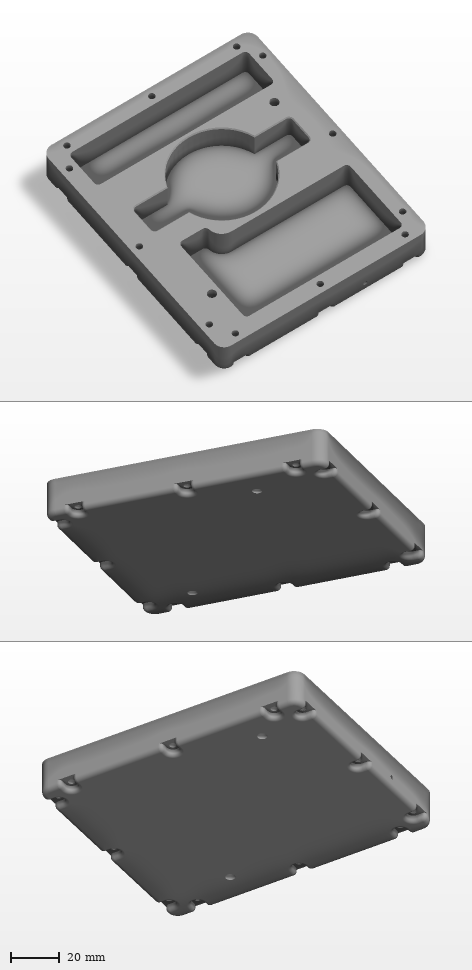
import cadquery as cq

LENGTH = 126.0
WIDTH = 106.0
HEIGHT = 16.0
CORNER_RADIUS = 5.0
BOTTOM_FILLET = 2.0

SCREW_INSET = 4.0
SCREW_HOLE_DIAMETER = 3.1
SCREW_X_PITCH = 49.0
SCREW_Y_PITCH = 43.0
RECESS_WIDTH = 6.0
RECESS_HEIGHT = 3.3
RECESS_FILLET = 1.5

MOUNT_HOLE_DIAMETER = 4.2
MOUNT_HOLES = [(-27.0, 39.0), (37.0, -39.0)]

POCKET_WALL = 7.9
POCKET_FLOOR = 2.0
POCKET_RADIUS = 2.0
SIDE_POCKET_WIDTH = 20.1

STEPPED_POCKET_LEFT = 16.0
STEPPED_POCKET_BOTTOM = -35.0
STEP_LEFT = 8.0
STEP_TOP = -20.8
STEP_RADIUS = 7.0

ROUND_POCKET_X = -10.0
ROUND_POCKET_FLOOR = 4.0
ROUND_POCKET_RADIUS = 23.25
CROSS_SLOT_WIDTH = 15.0
CROSS_SLOT_LENGTH = 80.0
ROUND_POCKET_CHAMFER = 0.5

WALL_HOLE_DIAMETER = 2.0
WALL_HOLE_Y = 20.0
WALL_HOLE_Z = 5.0

POCKET_X_LIMIT = LENGTH / 2 - POCKET_WALL
POCKET_Y_LIMIT = WIDTH / 2 - POCKET_WALL


def make_body():
    """Solid block with rounded corners and a rounded bottom edge."""
    block = cq.Workplane("XY").box(LENGTH, WIDTH, HEIGHT, centered=(True, True, False))
    block = block.edges("|Z").fillet(CORNER_RADIUS)
    return block.faces("<Z").edges().fillet(BOTTOM_FILLET)


def screw_places():
    """Screw centres, each with the direction toward its side wall."""
    row_x = LENGTH / 2 - SCREW_INSET
    row_y = WIDTH / 2 - SCREW_INSET
    places = []
    for side in (-1, 1):
        for step in (-1, 0, 1):
            places.append((step * SCREW_X_PITCH, side * row_y, 0, side))
            places.append((side * row_x, step * SCREW_Y_PITCH, side, 0))
    return places


def cut_screw_recess(body, x, y, out_x, out_y):
    """Cut a round-ended recess from the screw out through the side wall and round its rim."""
    run = 2 * SCREW_INSET
    exit_size_x = run if out_x else RECESS_WIDTH
    exit_size_y = run if out_y else RECESS_WIDTH
    head = cq.Workplane("XY").center(x, y).circle(RECESS_WIDTH / 2).extrude(RECESS_HEIGHT)
    exit_slot = (
        cq.Workplane("XY")
        .center(x + out_x * run / 2, y + out_y * run / 2)
        .rect(exit_size_x, exit_size_y)
        .extrude(RECESS_HEIGHT)
    )
    body = body.cut(head.union(exit_slot))

    round_end = (x - out_x * RECESS_WIDTH / 2, y - out_y * RECESS_WIDTH / 2, 0)
    return body.edges(cq.selectors.NearestToPointSelector(round_end)).fillet(RECESS_FILLET)


def make_side_pocket():
    """Long rounded pocket beside the -X wall."""
    return (
        cq.Workplane("XY", origin=(-POCKET_X_LIMIT + SIDE_POCKET_WIDTH / 2, 0, POCKET_FLOOR))
        .rect(SIDE_POCKET_WIDTH, 2 * POCKET_Y_LIMIT)
        .extrude(HEIGHT - POCKET_FLOOR)
        .edges("|Z")
        .fillet(POCKET_RADIUS)
    )


def make_stepped_pocket():
    """Pocket beside the +X wall, wider below the step than above it."""
    step_corner = (STEPPED_POCKET_LEFT, STEP_TOP)
    outer_corners = [
        (STEPPED_POCKET_LEFT, POCKET_Y_LIMIT),
        (POCKET_X_LIMIT, POCKET_Y_LIMIT),
        (POCKET_X_LIMIT, STEPPED_POCKET_BOTTOM),
        (STEP_LEFT, STEPPED_POCKET_BOTTOM),
        (STEP_LEFT, STEP_TOP),
    ]
    pocket = (
        cq.Workplane("XY", origin=(0, 0, POCKET_FLOOR))
        .polyline(outer_corners + [step_corner])
        .close()
        .extrude(HEIGHT - POCKET_FLOOR)
    )
    pocket = round_upright_edge(pocket, step_corner, STEP_RADIUS)
    for corner in outer_corners:
        pocket = round_upright_edge(pocket, corner, POCKET_RADIUS)
    return pocket


def round_upright_edge(pocket, corner, radius):
    """Fillet the vertical edge that stands on the given corner."""
    middle = (corner[0], corner[1], (POCKET_FLOOR + HEIGHT) / 2)
    return pocket.edges("|Z").edges(cq.selectors.NearestToPointSelector(middle)).fillet(radius)


def make_round_pocket():
    """Round pocket with its cross slot; the rim widens by the chamfer at the top face."""
    depth = HEIGHT - ROUND_POCKET_FLOOR
    base = cq.Workplane("XY", origin=(ROUND_POCKET_X, 0, ROUND_POCKET_FLOOR))
    slot = base.rect(CROSS_SLOT_WIDTH, CROSS_SLOT_LENGTH).extrude(depth)
    slot = slot.edges("|Z").fillet(POCKET_RADIUS)
    return slot.union(base.circle(ROUND_POCKET_RADIUS).extrude(depth))


def chamfer_round_pocket(body):
    """Chamfer the top rim of the round pocket and its slot."""
    margin = 0.1
    half_x = ROUND_POCKET_RADIUS + margin
    half_y = CROSS_SLOT_LENGTH / 2 + margin
    rim = cq.selectors.BoxSelector(
        (ROUND_POCKET_X - half_x, -half_y, HEIGHT - margin),
        (ROUND_POCKET_X + half_x, half_y, HEIGHT + margin),
    )
    return body.faces(">Z").edges(rim).chamfer(ROUND_POCKET_CHAMFER)


def make_through_holes(centers, diameter):
    """Vertical holes through the full height."""
    return cq.Workplane("XY").pushPoints(centers).circle(diameter / 2).extrude(HEIGHT)


def make_wall_hole():
    """Horizontal hole from the stepped pocket out through the +X wall."""
    return (
        cq.Workplane("YZ", origin=(POCKET_X_LIMIT, WALL_HOLE_Y, WALL_HOLE_Z))
        .circle(WALL_HOLE_DIAMETER / 2)
        .extrude(POCKET_WALL)
    )


housing = make_body()
for place in screw_places():
    housing = cut_screw_recess(housing, *place)

housing = housing.cut(make_round_pocket())
housing = chamfer_round_pocket(housing)
housing = housing.cut(make_side_pocket())
housing = housing.cut(make_stepped_pocket())

screw_centers = [(x, y) for x, y, _, _ in screw_places()]
housing = housing.cut(make_through_holes(screw_centers, SCREW_HOLE_DIAMETER))
housing = housing.cut(make_through_holes(MOUNT_HOLES, MOUNT_HOLE_DIAMETER))
result = housing.cut(make_wall_hole())